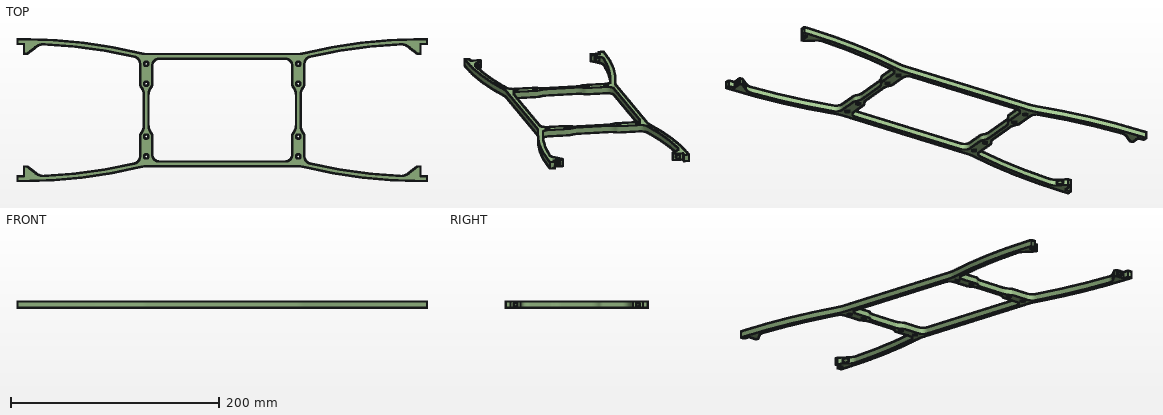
import cadquery as cq
import math

LENGTH = 393.7
WIDTH = 136.525
THICKNESS = 6.35

BAR = 4.7625
RAIL_OUTER_Y = 53.975
CROSSBAR_X = 73.025
HOLE_DIAMETER = 3.96875

PAD_WIDTH = 3 * HOLE_DIAMETER
PAD_END_HOLE_Y = 25.4
PAD_HOLE_SPACING = 19.05
PAD_NECK_RADIUS = 11.1125
PAD_RAIL_FILLET = 6.35
PAD_ARM_FILLET = 7.14375
RAIL_ARM_FILLET = 26.2

ARM_RADIUS = 469.9
TIP_LENGTH = 6.35
HOOK_POINT_Y = 53.975
HOOK_POINT_WIDTH = 3.175
HOOK_BACK_ANGLE = 38.0
HOOK_FILLET = 10.5
HOOK_HOLE_DEPTH = 15.0

HALF_LENGTH = LENGTH / 2
HALF_WIDTH = WIDTH / 2
HALF_BAR = BAR / 2
HOLE_RADIUS = HOLE_DIAMETER / 2
PAD_RADIUS = PAD_WIDTH / 2
PAD_OUTER_X = CROSSBAR_X + PAD_RADIUS
PAD_INNER_X = CROSSBAR_X - PAD_RADIUS
RAIL_INNER_Y = RAIL_OUTER_Y - BAR
TIP_INNER_Y = HALF_WIDTH - BAR
HOOK_FACE_X = HALF_LENGTH - TIP_LENGTH
HOOK_POINT_X = HOOK_FACE_X - HOOK_POINT_WIDTH
HOOK_HOLE_Y = (HOOK_POINT_Y + TIP_INNER_Y) / 2
ARM_CENTER_Y = HALF_WIDTH - ARM_RADIUS
ARM_INNER_RADIUS = ARM_RADIUS - BAR
RAIL_ARM_X = HOOK_FACE_X - math.sqrt(ARM_RADIUS**2 - (RAIL_OUTER_Y - ARM_CENTER_Y) ** 2)


def arm_point(radius, x):
    """Point at x on the arm arc of the given radius."""
    return (x, ARM_CENTER_Y + math.sqrt(radius**2 - (HOOK_FACE_X - x) ** 2))


def hook_back_x(y):
    """X of the hook's sloped back at height y."""
    return HOOK_POINT_X - (y - HOOK_POINT_Y) / math.tan(math.radians(HOOK_BACK_ANGLE))


def pad_end_points(side):
    """Points down one side of a pad end: round start, mid, join, neck mid and neck end."""
    neck_x = HALF_BAR + PAD_NECK_RADIUS
    center_distance = PAD_RADIUS + PAD_NECK_RADIUS
    turn = math.acos(neck_x / center_distance)
    neck_y = center_distance * math.sin(turn)

    def round_point(angle):
        return (PAD_RADIUS * math.cos(angle), PAD_RADIUS * math.sin(angle))

    def neck_point(angle):
        return (
            neck_x - PAD_NECK_RADIUS * math.cos(angle),
            neck_y - PAD_NECK_RADIUS * math.sin(angle),
        )

    offsets = [round_point(0), round_point(turn / 2), round_point(turn), neck_point(turn / 2), neck_point(0)]
    return [(CROSSBAR_X + side * x, PAD_END_HOLE_Y - y) for x, y in offsets]


def quarter_plate():
    """Rail, arm, pad and crossbar of the +X +Y quarter, cut off at both symmetry planes."""
    outer_start, outer_mid, outer_join, outer_neck, outer_end = pad_end_points(1)
    inner_start, inner_mid, inner_join, inner_neck, inner_end = pad_end_points(-1)
    outer_arc_mid = arm_point(ARM_RADIUS, (RAIL_ARM_X + HOOK_FACE_X) / 2)
    inner_arc_mid = arm_point(ARM_INNER_RADIUS, (PAD_OUTER_X + HOOK_FACE_X) / 2)
    outline = (
        cq.Workplane("XY")
        .moveTo(0, RAIL_OUTER_Y)
        .lineTo(RAIL_ARM_X, RAIL_OUTER_Y)
        .threePointArc(outer_arc_mid, (HOOK_FACE_X, HALF_WIDTH))
        .lineTo(HALF_LENGTH, HALF_WIDTH)
        .lineTo(HALF_LENGTH, TIP_INNER_Y)
        .lineTo(HOOK_FACE_X, TIP_INNER_Y)
        .threePointArc(inner_arc_mid, arm_point(ARM_INNER_RADIUS, PAD_OUTER_X))
        .lineTo(*outer_start)
        .threePointArc(outer_mid, outer_join)
        .threePointArc(outer_neck, outer_end)
        .lineTo(CROSSBAR_X + HALF_BAR, 0)
        .lineTo(CROSSBAR_X - HALF_BAR, 0)
        .lineTo(*inner_end)
        .threePointArc(inner_neck, inner_join)
        .threePointArc(inner_mid, inner_start)
        .lineTo(PAD_INNER_X, RAIL_INNER_Y)
        .lineTo(0, RAIL_INNER_Y)
        .close()
    )
    return outline.extrude(THICKNESS)


def hook():
    """Hook with an upright face and a sloped back, its root sunk halfway into the arm."""
    root_y = TIP_INNER_Y + HALF_BAR
    corners = [
        (HOOK_FACE_X, root_y),
        (HOOK_FACE_X, HOOK_POINT_Y),
        (HOOK_POINT_X, HOOK_POINT_Y),
        (hook_back_x(root_y), root_y),
    ]
    return cq.Workplane("XY").polyline(corners).close().extrude(THICKNESS)


def fillet_corners(body):
    """Round the upright edges where rail, arm, pad and hook run into each other."""
    corners = [
        ((RAIL_ARM_X, RAIL_OUTER_Y), RAIL_ARM_FILLET),
        (arm_point(ARM_INNER_RADIUS, PAD_OUTER_X), PAD_ARM_FILLET),
        ((PAD_INNER_X, RAIL_INNER_Y), PAD_RAIL_FILLET),
        (arm_point(ARM_INNER_RADIUS, hook_back_x(TIP_INNER_Y)), HOOK_FILLET),
    ]
    for (x, y), radius in corners:
        nearest = cq.selectors.NearestToPointSelector((x, y, THICKNESS / 2))
        body = body.edges("|Z").edges(nearest).fillet(radius)
    return body


def pad_holes():
    """Two holes up through the bolt pad."""
    hole_ys = (PAD_END_HOLE_Y, PAD_END_HOLE_Y + PAD_HOLE_SPACING)
    centers = [(CROSSBAR_X, y) for y in hole_ys]
    return cq.Workplane("XY").pushPoints(centers).circle(HOLE_RADIUS).extrude(THICKNESS)


def hook_hole():
    """Hole along X, at mid thickness, through the hook."""
    face = cq.Workplane("YZ", origin=(HOOK_FACE_X, HOOK_HOLE_Y, THICKNESS / 2))
    return face.circle(HOLE_RADIUS).extrude(-HOOK_HOLE_DEPTH)


quarter = fillet_corners(quarter_plate().union(hook())).cut(pad_holes()).cut(hook_hole())
half = quarter.union(quarter.mirror("YZ"))
result = half.union(half.mirror("XZ")).clean()